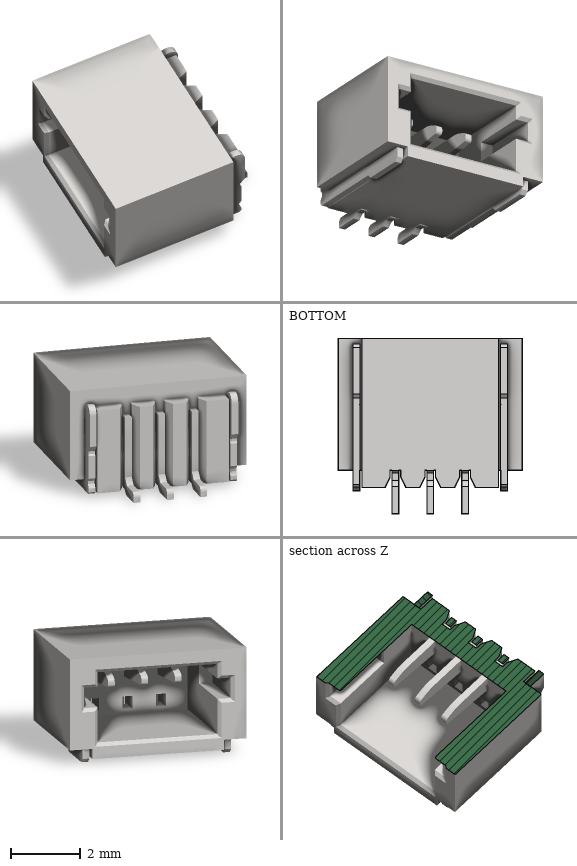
import cadquery as cq
import math


housing_width = 5.3
housing_depth = 3.8
housing_top = 3.14
shell_bottom = 0.44
base_bottom = 0.14
base_half_width = 1.965

guard_depth = 0.5
guard_top = 2.64
guard_corner_width = 0.15
guard_corner_depth = 0.3

mouth_half_width = 1.9
mouth_top = 2.78
mouth_bottom = 0.5
keyway_half_width = 2.3
keyway_top = 2.35
keyway_bottom = 1.54
keyway_depth = 2.0
mouth_chamfer = 0.1
back_wall = 0.6
cavity_depth = housing_depth - back_wall

pitch = 1.0
contact_positions = [-pitch, 0, pitch]
slot_width = 0.3
window_bottom = 0.73
window_top = 1.11

metal_width = 0.2

blade_top = 2.26
blade_root_bottom = 1.695
blade_nose_bottom = 1.865
blade_nose_corner = 2.1
blade_length = 1.8
blade_ramp_angle = 19.3
nose_lower_radius = 0.095
nose_upper_radius = 0.12
ramp_radius = 1.005
riser_step = 0.055
riser_gap = 0.07
riser_thickness = 0.285
foot_reach = 1.25
foot_thickness = 0.3
foot_brace = 0.195
foot_heel = 0.46
foot_heel_run = 0.165
foot_tip_radius = 0.15

tab_offset = 2.125
tab_top = 2.775
tab_relief = 0.035
tab_crown_radius = 0.255
tab_back = 4.39
tab_waist = 4.27
upper_notch_floor = 4.235
upper_notch_top = 1.59
upper_notch_floor_heights = (1.325, 1.41)
upper_notch_bottom = 1.275
lower_notch_floor = 4.19
lower_notch_top = 0.595
lower_notch_floor_heights = (0.415, 0.5)
lower_notch_bottom = 0.295
tab_heel_width = 0.06
lower_relief_heights = (1.17, 1.8)
upper_relief_bottom = 2.31
tab_front = 0.155
tab_arm_bottom = 0.12
tab_pad_back = 1.595
tab_pad_front = 0.265
tab_seat_front = 1.91
tab_clearance = 0.02


def box(x_range, y_range, z_range):
    """Box between the given limits on each axis."""
    size = [high - low for low, high in (x_range, y_range, z_range)]
    corner = (x_range[0], y_range[0], z_range[0])
    return cq.Workplane("XY").box(*size, centered=False).translate(corner)


def sheet(outline, x_centre):
    """Sheet-metal plate with a (Y, Z) outline, centred on x_centre."""
    plate = cq.Workplane("YZ").polyline(outline).close().extrude(metal_width / 2, both=True)
    return plate.translate((x_centre, 0, 0))


def round_corner(plate, corner, radius):
    """Round the edge of a plate that runs along X through the (Y, Z) corner."""
    x_centre = plate.val().Center().x
    nearest = cq.selectors.NearestToPointSelector((x_centre, *corner))
    return plate.edges("|X").edges(nearest).fillet(radius)


def make_flared_pocket(half_width, bottom, top, depth):
    """Rectangular pocket in the mouth face with a forty-five degree lead-in at its rim."""
    height = top - bottom
    centre_height = (top + bottom) / 2
    rim = cq.Workplane("XZ").center(0, centre_height).rect(2 * half_width, height)
    lead_in = rim.extrude(-mouth_chamfer, taper=45)
    x_range = (-half_width + mouth_chamfer, half_width - mouth_chamfer)
    z_range = (bottom + mouth_chamfer, top - mouth_chamfer)
    return box(x_range, (0, depth), z_range).union(lead_in)


def make_cavity():
    """Mating cavity with shallower keyways at its sides."""
    main = make_flared_pocket(mouth_half_width, mouth_bottom, mouth_top, cavity_depth)
    keyways = make_flared_pocket(keyway_half_width, keyway_bottom, keyway_top, keyway_depth)
    return main.union(keyways)


def make_guard_slot(x_centre):
    """Full-height slot between guard blocks, flared where it opens at the back."""
    half = slot_width / 2
    guard_back = housing_depth + guard_depth
    flare_start = guard_back - guard_corner_depth
    flare_half = half + guard_corner_width
    outline = [
        (-half, housing_depth),
        (half, housing_depth),
        (half, flare_start),
        (flare_half, guard_back),
        (-flare_half, guard_back),
        (-half, flare_start),
    ]
    slot = cq.Workplane("XY").polyline(outline).close().extrude(housing_top)
    return slot.translate((x_centre, 0, 0))


def make_window(x_centre):
    """Opening through the back wall below a contact."""
    x_range = (x_centre - slot_width / 2, x_centre + slot_width / 2)
    return box(x_range, (cavity_depth, housing_depth), (window_bottom, window_top))


def make_contact(x_centre):
    """Contact with a tapered blade, a riser behind the wall and a solder foot."""
    blade_tip = cavity_depth - blade_length
    ramp_run = (blade_top - blade_nose_corner) / math.tan(math.radians(blade_ramp_angle))
    riser_front = housing_depth + riser_gap
    riser_back = riser_front + riser_thickness
    riser_top = blade_top + riser_step
    foot_end = housing_depth + foot_reach
    heel = housing_depth + foot_heel
    nose_lower = (blade_tip, blade_nose_bottom)
    nose_upper = (blade_tip, blade_nose_corner)
    ramp_end = (blade_tip + ramp_run, blade_top)
    foot_tip = (foot_end, foot_thickness)
    outline = [
        nose_lower,
        nose_upper,
        ramp_end,
        (riser_front, blade_top),
        (riser_front, riser_top),
        (riser_back, riser_top),
        (riser_back, foot_thickness + foot_brace),
        (riser_back + foot_brace, foot_thickness),
        foot_tip,
        (foot_end, 0),
        (heel, 0),
        (heel - foot_heel_run, base_bottom),
        (riser_front, base_bottom),
        (riser_front, blade_root_bottom),
        (cavity_depth, blade_root_bottom),
    ]
    contact = sheet(outline, x_centre)
    contact = round_corner(contact, nose_lower, nose_lower_radius)
    contact = round_corner(contact, nose_upper, nose_upper_radius)
    contact = round_corner(contact, ramp_end, ramp_radius)
    return round_corner(contact, foot_tip, foot_tip_radius)


def make_housing():
    """Housing shell with the contacts moulded in as one solid."""
    half_width = housing_width / 2
    guard_back = housing_depth + guard_depth
    base_range = (-base_half_width, base_half_width)
    shell = box((-half_width, half_width), (0, housing_depth), (shell_bottom, housing_top))
    base = box(base_range, (0, housing_depth), (base_bottom, shell_bottom))
    guards = box(base_range, (housing_depth, guard_back), (base_bottom, guard_top))
    housing = shell.union(base).union(guards).cut(make_cavity())
    for x_centre in contact_positions:
        housing = housing.cut(make_guard_slot(x_centre)).cut(make_window(x_centre))
    for x_centre in contact_positions:
        housing = housing.union(make_contact(x_centre))
    return housing


def make_tab(x_centre):
    """L-shaped hold-down tab against the back wall and under the shell."""
    relief = housing_depth + tab_relief
    crown_front = (relief, tab_top)
    crown_back = (tab_back, tab_top)
    outline = [
        crown_back,
        (tab_back, upper_notch_top),
        (upper_notch_floor, upper_notch_floor_heights[1]),
        (upper_notch_floor, upper_notch_floor_heights[0]),
        (tab_waist, upper_notch_bottom),
        (tab_waist, lower_notch_top),
        (lower_notch_floor, lower_notch_floor_heights[1]),
        (lower_notch_floor, lower_notch_floor_heights[0]),
        (tab_waist, lower_notch_bottom),
        (tab_waist, tab_arm_bottom + tab_heel_width),
        (tab_waist - tab_heel_width, tab_arm_bottom),
        (tab_pad_back + tab_arm_bottom, tab_arm_bottom),
        (tab_pad_back, 0),
        (tab_pad_front, 0),
        (tab_front, tab_arm_bottom),
        (tab_front, shell_bottom - tab_clearance),
        (tab_seat_front, shell_bottom - tab_clearance),
        (tab_seat_front, shell_bottom),
        (housing_depth, shell_bottom),
        (housing_depth, lower_relief_heights[0]),
        (relief, lower_relief_heights[0]),
        (relief, lower_relief_heights[1]),
        (housing_depth, lower_relief_heights[1]),
        (housing_depth, upper_relief_bottom),
        (relief, upper_relief_bottom),
        crown_front,
    ]
    tab = sheet(outline, x_centre)
    tab = round_corner(tab, crown_front, tab_crown_radius)
    return round_corner(tab, crown_back, tab_crown_radius)


housing = make_housing()
tabs = [make_tab(x_centre) for x_centre in (-tab_offset, tab_offset)]
result = cq.Compound.makeCompound([housing.val(), *[tab.val() for tab in tabs]])